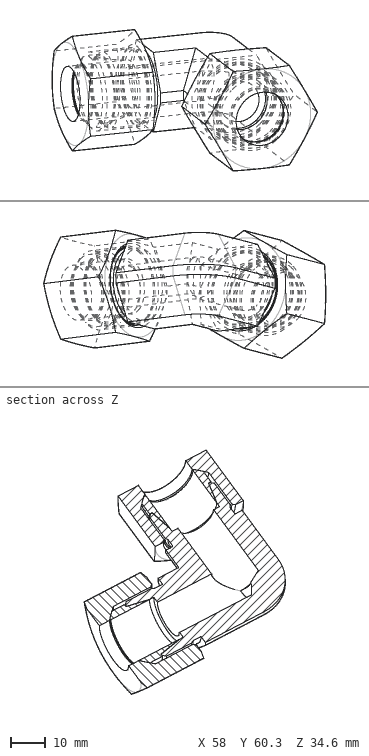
import cadquery as cq
import math

block_reach = 20.0
block_half_width = 13.0
block_half_height = 12.0
edge_half_height = 1.5
flank_angle = 60.0
flank_height = block_half_height - edge_half_height
flat_half_width = block_half_width - flank_height / math.tan(math.radians(flank_angle))

stub_end = 33.0
neck_diameter = 21.2
neck_length = 2.6
neck_taper_angle = 30.0
thread_diameter = 22.16
thread_chamfer = 1.0

bore_diameter = 12.0
drill_point_angle = 120.0
tube_diameter = 16.0
tube_stop = 24.5
cone_angle = 24.0
cone_mouth_diameter = 19.0

nut_sides = 6
nut_across_flats = 30.0
nut_start = 22.5
nut_end = 43.0
nut_chamfer_angle = 15.0
nut_hole_depth = 3.5
nut_bore_diameter = 23.0
nut_mouth_chamfer = 0.75

ring_gap = 0.5
ring_collar_diameter = 21.0

bore_radius = bore_diameter / 2
tube_radius = tube_diameter / 2
thread_radius = thread_diameter / 2
neck_radius = neck_diameter / 2
cone_mouth_radius = cone_mouth_diameter / 2
collar_radius = ring_collar_diameter / 2
cone_slope = math.tan(math.radians(cone_angle / 2))
cone_depth = (cone_mouth_radius - tube_radius) / cone_slope
shoulder_start = nut_end - nut_hole_depth
ring_end = shoulder_start - ring_gap
nut_bore_radius = nut_bore_diameter / 2
nut_bore_end = shoulder_start - (nut_bore_radius - tube_radius)


def turned(points):
    """Solid of revolution about X from (x, radius) points."""
    return cq.Workplane("XY").polyline(points).close().revolve(360, (0, 0, 0), (1, 0, 0))


def on_second_leg(body):
    """Turn a body from the +X leg round to the -Y leg."""
    return body.rotate((0, 0, 0), (0, 0, 1), -90)


def on_both_legs(body):
    return body.union(on_second_leg(body))


def make_block():
    half_section = [
        (0, -block_half_height),
        (flat_half_width, -block_half_height),
        (block_half_width, -edge_half_height),
        (block_half_width, edge_half_height),
        (flat_half_width, block_half_height),
        (0, block_half_height),
    ]
    half_leg = cq.Workplane("YZ").polyline(half_section).close().extrude(block_reach)
    leg = half_leg.union(half_leg.mirror("XZ"))
    corner = cq.Workplane("XZ").polyline(half_section).close().revolve(360, (0, 0, 0), (0, 1, 0))
    return leg.union(on_second_leg(leg)).union(corner)


def make_stub():
    neck_end = block_reach + neck_length
    taper_length = (thread_radius - neck_radius) / math.tan(math.radians(neck_taper_angle))
    return turned([
        (0, 0),
        (0, neck_radius),
        (neck_end, neck_radius),
        (neck_end + taper_length, thread_radius),
        (stub_end - thread_chamfer, thread_radius),
        (stub_end, thread_radius - thread_chamfer),
        (stub_end, 0),
    ])


def make_leg_bore():
    drill_point = bore_radius / math.tan(math.radians(drill_point_angle / 2))
    return turned([
        (-drill_point, 0),
        (0, bore_radius),
        (tube_stop, bore_radius),
        (tube_stop, tube_radius),
        (stub_end - cone_depth, tube_radius),
        (stub_end, cone_mouth_radius),
        (stub_end, 0),
    ])


def make_elbow():
    outside = make_block().union(on_both_legs(make_stub()))
    return outside.cut(make_leg_bore()).cut(on_second_leg(make_leg_bore()))


def make_nut():
    flat_distance = nut_across_flats / 2
    corner_radius = flat_distance / math.cos(math.pi / nut_sides)
    chamfer_length = (corner_radius - flat_distance) * math.tan(math.radians(nut_chamfer_angle))
    hexagon = (
        cq.Workplane("YZ", origin=(nut_start, 0, 0))
        .polygon(nut_sides, 2 * corner_radius)
        .extrude(nut_end - nut_start)
    )
    envelope = turned([
        (nut_start, 0),
        (nut_start, flat_distance),
        (nut_start + chamfer_length, corner_radius),
        (nut_end - chamfer_length, corner_radius),
        (nut_end, flat_distance),
        (nut_end, 0),
    ])
    opening = turned([
        (nut_start, 0),
        (nut_start, nut_bore_radius + nut_mouth_chamfer),
        (nut_start + nut_mouth_chamfer, nut_bore_radius),
        (nut_bore_end, nut_bore_radius),
        (shoulder_start, tube_radius),
        (nut_end, tube_radius),
        (nut_end, 0),
    ])
    return hexagon.intersect(envelope).cut(opening)


def make_ring():
    shoulder_contact = shoulder_start - (collar_radius - tube_radius)
    rim_radius = tube_radius + ring_gap
    return turned([
        (stub_end - cone_depth, tube_radius),
        (stub_end, cone_mouth_radius),
        (stub_end, collar_radius),
        (shoulder_contact, collar_radius),
        (ring_end, rim_radius),
        (ring_end, tube_radius),
    ])


elbow = make_elbow()
nut = make_nut()
ring = make_ring()

second_nut = on_second_leg(nut.rotate((0, 0, 0), (1, 0, 0), 90))
second_ring = on_second_leg(ring)
bodies = [body.val() for body in (elbow, nut, second_nut, ring, second_ring)]

result = cq.Compound.makeCompound(bodies)